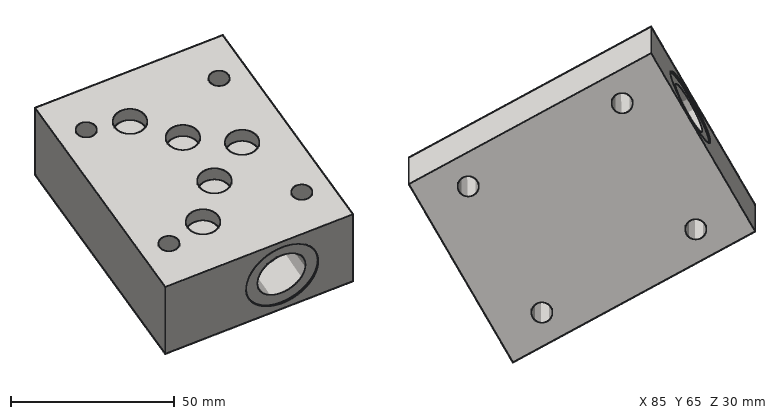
import cadquery as cq
import math

length = 85.0
width = 65.0
height = 30.0

bolt_diameter = 6.5
bolt_spacing_x = 54.0
bolt_spacing_y = 46.0

valve_port_diameter = 10.5
valve_port_depth = 5.0
middle_port_y = 16.7
inner_port_x = 10.3
inner_port_y = 1.6
outer_port_x = 23.8
outer_port_y = -9.5
valve_port_centers = [
    (0, middle_port_y),
    (-inner_port_x, inner_port_y),
    (inner_port_x, inner_port_y),
    (-outer_port_x, outer_port_y),
    (outer_port_x, outer_port_y),
]

side_port_y = 8.0
side_port_z = height / 2
spot_face_diameter = 25.0
spot_face_depth = 0.5
thread_diameter = 16.7
thread_depth = 13.0
drill_diameter = 15.0
drill_depth = 17.0
drill_tip_angle = 118
drill_tip_depth = drill_diameter / 2 / math.tan(math.radians(drill_tip_angle / 2))


def make_block():
    return cq.Workplane("XY").box(length, width, height, centered=(True, True, False))


def cut_mounting_holes(body):
    return (
        body.faces(">Z")
        .workplane(origin=(0, 0, height))
        .rarray(bolt_spacing_x, bolt_spacing_y, 2, 2)
        .hole(bolt_diameter)
    )


def cut_valve_ports(body):
    return (
        body.faces(">Z")
        .workplane(origin=(0, 0, height))
        .pushPoints(valve_port_centers)
        .hole(valve_port_diameter, valve_port_depth)
    )


def make_side_port():
    """Stepped cavity turned about an X axis, entering from the -X face."""
    profile = [
        (0, 0),
        (0, spot_face_diameter / 2),
        (spot_face_depth, spot_face_diameter / 2),
        (spot_face_depth, thread_diameter / 2),
        (thread_depth, thread_diameter / 2),
        (thread_depth, drill_diameter / 2),
        (drill_depth, drill_diameter / 2),
        (drill_depth + drill_tip_depth, 0),
    ]
    return (
        cq.Workplane("XY")
        .polyline(profile)
        .close()
        .revolve(360, (0, 0, 0), (1, 0, 0))
        .translate((-length / 2, side_port_y, side_port_z))
    )


block = cut_valve_ports(cut_mounting_holes(make_block()))
left_port = make_side_port()
right_port = left_port.mirror("YZ")
result = block.cut(left_port).cut(right_port)